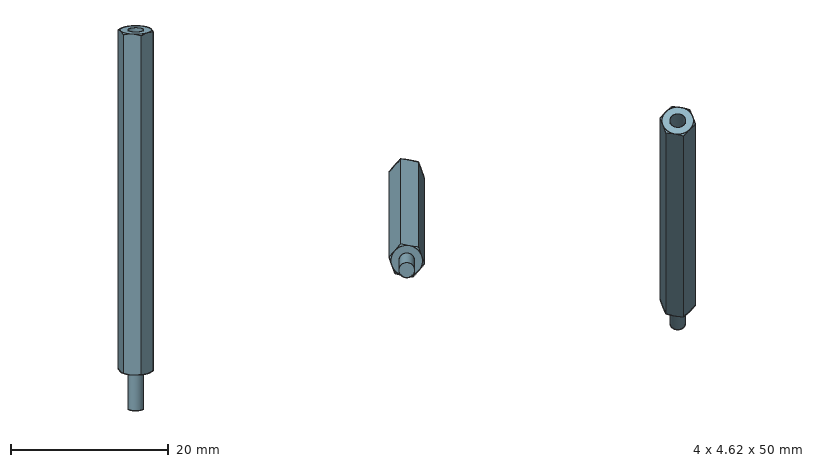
import cadquery as cq
import math

total_length = 50.0
across_flats = 4.0
stud_diameter = 2.0
stud_length = 5.0
bore_diameter = stud_diameter
bore_depth = stud_length
corner_bevel_angle = 30.0

body_length = total_length - stud_length
across_corners = across_flats / math.cos(math.radians(30))
corner_radius = across_corners / 2
end_face_radius = across_flats / 2
bevel_height = (corner_radius - end_face_radius) * math.tan(math.radians(corner_bevel_angle))


def bevel_envelope():
    """Round bar with conical ends that trims the hexagon's corners at both ends."""
    return (
        cq.Workplane("XZ")
        .moveTo(0, 0)
        .lineTo(end_face_radius, 0)
        .lineTo(corner_radius, bevel_height)
        .lineTo(corner_radius, body_length - bevel_height)
        .lineTo(end_face_radius, body_length)
        .lineTo(0, body_length)
        .close()
        .revolve(360, (0, 0, 0), (0, 1, 0))
    )


def make_standoff():
    """Hexagonal bar with corners along Y, bevelled ends and a blind bore in its top."""
    hexagon = (
        cq.Workplane("XY")
        .transformed(rotate=(0, 0, 90))
        .polygon(6, across_corners)
        .extrude(body_length)
    )
    bar = hexagon.intersect(bevel_envelope())
    return bar.faces(">Z").workplane().hole(bore_diameter, bore_depth)


def make_stud():
    """Plain round stud that meets the lower end face of the standoff."""
    return cq.Workplane("XY").circle(stud_diameter / 2).extrude(-stud_length)


standoff = make_standoff()
stud = make_stud()

result = cq.Compound.makeCompound([standoff.solids().val(), stud.val()])